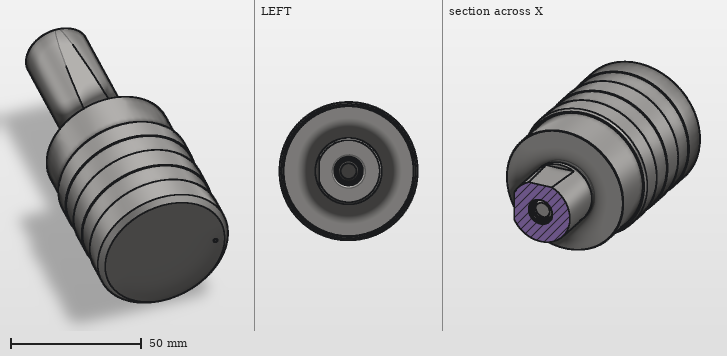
import cadquery as cq
import math

total_length = 122.4
shank_dia = 25.5
neck_dia = 24.7
hub_dia = 50.0
sleeve_dia = 53.0
grip_band_dia = 52.4

shank_end = 55.7
neck_taper_length = 0.7
hub_start = 57.9
sleeve_start = 74.3
first_band_start = 83.5
band_pitch = 9.0
recess_count = 2
dot_height = 0.2
sleeve_end = total_length - dot_height

shank_chamfer = 0.9
hub_chamfer = 0.2
neck_fillet = 0.4
sleeve_front_chamfer_length = 1.1
sleeve_front_dia = 51.4
sleeve_end_chamfer = 2.2

flats_end = 53.8
flat_distance = 11.3
taper_start_distance = shank_dia / 2

bore_dia = 11.0
bore_depth = 36.7
mouth_dia = 12.7
step_dias = (10.0, 9.3)
step_length = 1.2
pin_bore_dia = 8.5
pin_dia = 8.0
pin_tip_dia = 6.0
pin_tip_length = 1.7

dot_dia = 1.6
dot_circle_dia = 41.0


def make_body():
    """Turned outside: shank, neck, hub and sleeve with two recessed grip bands."""
    shank_r = shank_dia / 2
    neck_r = neck_dia / 2
    hub_r = hub_dia / 2
    sleeve_r = sleeve_dia / 2
    band_r = grip_band_dia / 2
    band_drop = sleeve_r - band_r
    fillet_mid = neck_fillet * (1 - math.sqrt(0.5))
    profile = (
        cq.Workplane("XY")
        .lineTo(0, shank_r - shank_chamfer)
        .lineTo(shank_chamfer, shank_r)
        .lineTo(shank_end, shank_r)
        .lineTo(shank_end + neck_taper_length, neck_r)
        .lineTo(hub_start - neck_fillet, neck_r)
        .threePointArc(
            (hub_start - fillet_mid, neck_r + fillet_mid),
            (hub_start, neck_r + neck_fillet),
        )
    )
    head_points = [
        (hub_start, hub_r - hub_chamfer),
        (hub_start + hub_chamfer, hub_r),
        (sleeve_start, hub_r),
        (sleeve_start, sleeve_front_dia / 2),
        (sleeve_start + sleeve_front_chamfer_length, sleeve_r),
    ]
    for recess in range(recess_count):
        start = first_band_start + 2 * recess * band_pitch
        end = start + band_pitch
        head_points += [
            (start, sleeve_r),
            (start + band_drop, band_r),
            (end - band_drop, band_r),
            (end, sleeve_r),
        ]
    head_points += [
        (sleeve_end - sleeve_end_chamfer, sleeve_r),
        (sleeve_end, sleeve_r - sleeve_end_chamfer),
        (sleeve_end, 0),
    ]
    for point in head_points:
        profile = profile.lineTo(*point)
    return profile.close().revolve(360, (0, 0, 0), (1, 0, 0))


def make_side_flat():
    """Cutter for the flat on the +Y side, parallel to the axis."""
    corner = cq.Workplane("XY", origin=(0, flat_distance, 0))
    return corner.box(flats_end, shank_dia, 2 * shank_dia, centered=(False, False, True))


def make_tapered_flat():
    """Cutter for the flat on the +Z side, sloping inwards towards the hub."""
    outline = [
        (0, taper_start_distance),
        (flats_end, flat_distance),
        (flats_end, shank_dia),
        (0, shank_dia),
    ]
    return cq.Workplane("XZ").polyline(outline).close().extrude(shank_dia, both=True)


def make_bore():
    """Cutter for the stepped bore, leaving a chamfered pin standing at its bottom."""
    bore_r = bore_dia / 2
    mouth_r = mouth_dia / 2
    mouth_round = mouth_r - bore_r
    bend = mouth_round * math.sqrt(0.5)
    profile = (
        cq.Workplane("XY")
        .lineTo(0, mouth_r)
        .threePointArc((mouth_round - bend, mouth_r - bend), (mouth_round, bore_r))
        .lineTo(bore_depth, bore_r)
    )
    station = bore_depth
    for dia in step_dias:
        profile = profile.lineTo(station, dia / 2)
        station += step_length
        profile = profile.lineTo(station, dia / 2)
    tip_x = station
    seat_x = tip_x + (step_dias[-1] - pin_bore_dia) / 2
    bottom_x = seat_x + step_length
    profile = (
        profile.lineTo(seat_x, pin_bore_dia / 2)
        .lineTo(bottom_x, pin_bore_dia / 2)
        .lineTo(bottom_x, pin_dia / 2)
        .lineTo(tip_x + pin_tip_length, pin_dia / 2)
        .lineTo(tip_x, pin_tip_dia / 2)
        .lineTo(tip_x, 0)
        .close()
    )
    return profile.revolve(360, (0, 0, 0), (1, 0, 0))


def make_dot():
    """Small round dot standing on the far end face, on the +Y side."""
    return (
        cq.Workplane("YZ", origin=(sleeve_end, 0, 0))
        .center(dot_circle_dia / 2, 0)
        .circle(dot_dia / 2)
        .extrude(dot_height)
    )


result = make_body().cut(make_side_flat()).cut(make_tapered_flat()).cut(make_bore()).union(make_dot())